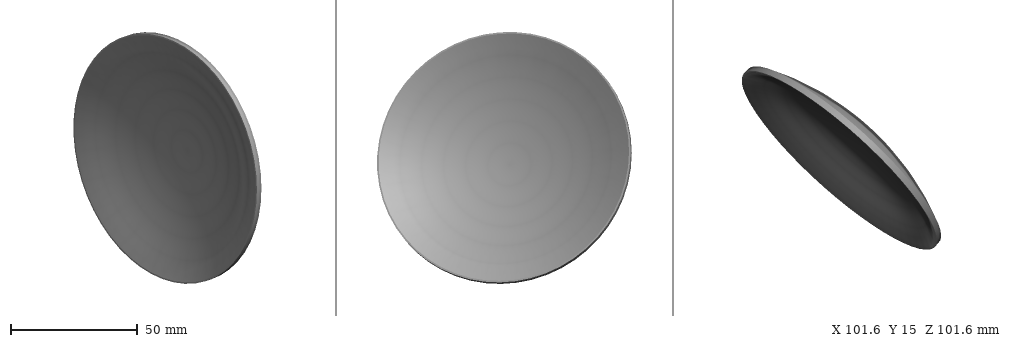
import cadquery as cq
import math

outer_diameter = 101.6
overall_depth = 15.0
rim_height = 2.5
wall = 2.5

outer_radius = outer_diameter / 2
open_y = -overall_depth / 2
apex_y = overall_depth / 2
band_y = open_y + rim_height

dome_rise = apex_y - band_y
outer_sphere = (outer_radius**2 + dome_rise**2) / (2 * dome_rise)
centre_y = apex_y - outer_sphere

inner_sphere = outer_sphere - wall
hollow_y = apex_y - wall
inner_radius = math.sqrt(inner_sphere**2 - (open_y - centre_y) ** 2)


def arc_midpoint(sphere_radius, edge_radius):
    """Point on a sphere's profile, halfway in angle between the axis and its edge."""
    half_angle = math.asin(edge_radius / sphere_radius) / 2
    return (
        sphere_radius * math.sin(half_angle),
        centre_y + sphere_radius * math.cos(half_angle),
    )


half_section = (
    cq.Workplane("XY")
    .moveTo(0, apex_y)
    .threePointArc(arc_midpoint(outer_sphere, outer_radius), (outer_radius, band_y))
    .lineTo(outer_radius, open_y)
    .lineTo(inner_radius, open_y)
    .threePointArc(arc_midpoint(inner_sphere, inner_radius), (0, hollow_y))
    .close()
)

result = half_section.revolve(360, (0, 0, 0), (0, 1, 0))